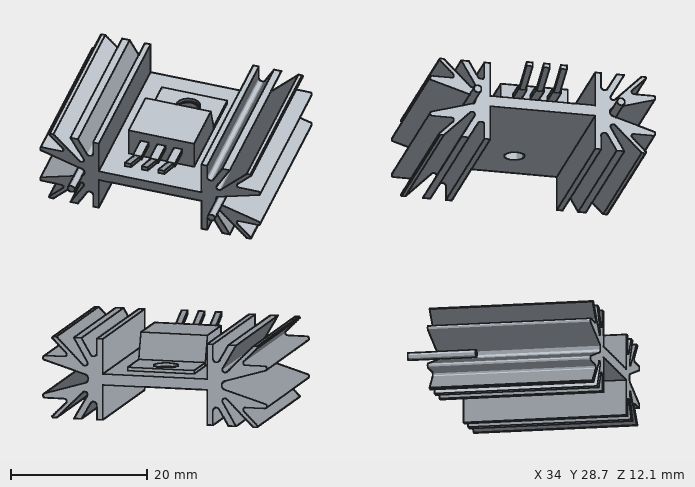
import cadquery as cq
import math


OVERALL_WIDTH = 34.0
HEIGHT = 12.1
LENGTH = 24.48
BACK_Y = 14.35
HALF_HEIGHT = HEIGHT / 2
WEB_THICKNESS = 1.63
WEB_TOP = WEB_THICKNESS / 2

WALL_INNER_X = 7.92
WALL_THICKNESS = 0.9
WALL_OUTER_X = WALL_INNER_X + WALL_THICKNESS

STEEP_FIN_ANGLE = 30.0
STEEP_FIN_INNER_X = 11.15
STEEP_FIN_OUTER_X = 12.3
DIAGONAL_FIN_ANGLE = 45.0
DIAGONAL_FIN_INNER_X = 14.93
DIAGONAL_FIN_OUTER_X = 15.47
DIAGONAL_FIN_CHAMFER = 0.17
SIDE_FIN_TOP = 3.15
SIDE_FIN_TIP_RADIUS = 0.35
PIN_GROOVE_ANGLE = 16.7
PIN_GROOVE_RADIUS = 0.68

WALL_NOTCH_RADIUS = 0.5
FIN_NOTCH_RADIUS = 0.4
SIDE_NOTCH_RADIUS = 0.35

PIN_DIAMETER = 1.12
PIN_X = 10.8
PIN_LENGTH = 10.2
PIN_FRONT_Y = -14.35

PACKAGE_WIDTH = 10.1
PACKAGE_BACK_Y = 10.88
PACKAGE_FRONT_Y = -4.8
CASE_TOP = 5.17
TAB_THICKNESS = 0.5
TAB_TOP = WEB_TOP + TAB_THICKNESS
CASE_BACK_FOOT_Y = 4.42
CASE_BACK_TOP_Y = 3.15
HOLE_Y = 7.85
TAB_HOLE_DIAMETER = 3.6
WEB_HOLE_DIAMETER = 3.0

LEG_PITCH = 2.6
LEG_THICKNESS = 0.6
LEG_BOTTOM = 3.05
LEG_RISE = 1.97
LEG_BEND_Y = -8.25
LEG_TIP_Y = -12.75
LEG_ROOT_WIDTH = 1.3
LEG_TIP_WIDTH = 0.92


def corner_arc(before, corner, after, radius):
    """Start, middle and end of the arc that rounds a corner between two straight lines."""

    def direction(target):
        reach = math.dist(corner, target)
        return ((target[0] - corner[0]) / reach, (target[1] - corner[1]) / reach)

    def along(step, distance):
        return (corner[0] + step[0] * distance, corner[1] + step[1] * distance)

    back = direction(before)
    ahead = direction(after)
    bisector = (back[0] + ahead[0], back[1] + ahead[1])
    bisector_length = math.hypot(*bisector)
    half_angle = math.acos(bisector_length / 2)
    middle_step = (bisector[0] / bisector_length, bisector[1] / bisector_length)
    tangent_distance = radius / math.tan(half_angle)
    middle_distance = radius / math.sin(half_angle) - radius
    return along(back, tangent_distance), along(middle_step, middle_distance), along(ahead, tangent_distance)


def rounded_outline(corners):
    """Closed XZ outline from (x, z, radius) corners, where radius 0 keeps a corner sharp."""
    points = [(x, z) for x, z, _ in corners]
    outline = cq.Workplane("XZ", origin=(0, BACK_Y, 0)).moveTo(*points[0])
    for i in range(1, len(corners)):
        radius = corners[i][2]
        if radius == 0:
            outline = outline.lineTo(*points[i])
        else:
            after = points[(i + 1) % len(points)]
            start, middle, end = corner_arc(points[i - 1], points[i], after, radius)
            outline = outline.lineTo(*start).threePointArc(middle, end)
    return outline.close()


def lines_crossing(x1, slope1, x2, slope2):
    """Crossing point of two fin flanks, each given by x at the top face and its inward run per unit drop."""
    drop = (x2 - x1) / (slope2 - slope1)
    return x1 - slope1 * drop, HALF_HEIGHT - drop


def fin_corners():
    """Corners of the upper half of the right fin cluster, from the wall to the apex of the pin groove."""
    steep = math.tan(math.radians(STEEP_FIN_ANGLE))
    diagonal = math.tan(math.radians(DIAGONAL_FIN_ANGLE))
    flank = math.tan(math.radians(PIN_GROOVE_ANGLE))
    wall_notch = lines_crossing(WALL_OUTER_X, 0, STEEP_FIN_INNER_X, steep)
    fin_notch = lines_crossing(STEEP_FIN_OUTER_X, steep, DIAGONAL_FIN_INNER_X, diagonal)

    tip_x = DIAGONAL_FIN_OUTER_X + DIAGONAL_FIN_CHAMFER
    tip_z = HALF_HEIGHT - DIAGONAL_FIN_CHAMFER
    side_notch_x = tip_x - (tip_z - SIDE_FIN_TOP) * diagonal

    tip_half_angle = math.radians(PIN_GROOVE_ANGLE) / 2
    tip_center_x = OVERALL_WIDTH / 2 - SIDE_FIN_TIP_RADIUS
    side_tip_x = tip_center_x + SIDE_FIN_TIP_RADIUS / math.tan(tip_half_angle)
    groove_apex_x = side_tip_x - SIDE_FIN_TOP / flank
    return [
        (WALL_INNER_X, HALF_HEIGHT, 0),
        (WALL_OUTER_X, HALF_HEIGHT, 0),
        (*wall_notch, WALL_NOTCH_RADIUS),
        (STEEP_FIN_INNER_X, HALF_HEIGHT, 0),
        (STEEP_FIN_OUTER_X, HALF_HEIGHT, 0),
        (*fin_notch, FIN_NOTCH_RADIUS),
        (DIAGONAL_FIN_INNER_X, HALF_HEIGHT, 0),
        (DIAGONAL_FIN_OUTER_X, HALF_HEIGHT, 0),
        (tip_x, tip_z, 0),
        (side_notch_x, SIDE_FIN_TOP, SIDE_NOTCH_RADIUS),
        (side_tip_x, SIDE_FIN_TOP, SIDE_FIN_TIP_RADIUS),
        (groove_apex_x, 0, PIN_GROOVE_RADIUS),
    ]


def make_heatsink():
    """Web between two mirrored fin clusters, with the mounting hole through the web."""
    upper = fin_corners()
    lower = [(x, -z, radius) for x, z, radius in reversed(upper[:-1])]
    right_fins = rounded_outline(upper + lower).extrude(LENGTH)
    left_fins = right_fins.mirror("YZ")
    web = (
        cq.Workplane("XZ", origin=(0, BACK_Y, 0))
        .rect(2 * WALL_INNER_X + WALL_THICKNESS, WEB_THICKNESS)
        .extrude(LENGTH)
    )
    hole = cq.Workplane("XY").center(0, HOLE_Y).circle(WEB_HOLE_DIAMETER / 2).extrude(HEIGHT, both=True)
    return web.union(right_fins).union(left_fins).cut(hole)


def make_pin(x):
    """Round pin lying along Y in the groove at x, reaching out past the front of the heatsink."""
    return cq.Workplane("XZ", origin=(x, PIN_FRONT_Y, 0)).circle(PIN_DIAMETER / 2).extrude(-PIN_LENGTH)


def make_leg(x):
    """Leg with a level root and a narrower tip that slopes upward."""
    root = (
        cq.Workplane("YZ", origin=(x, 0, 0))
        .moveTo(PACKAGE_FRONT_Y, LEG_BOTTOM)
        .lineTo(LEG_BEND_Y, LEG_BOTTOM)
        .lineTo(LEG_BEND_Y, LEG_BOTTOM + LEG_THICKNESS)
        .lineTo(PACKAGE_FRONT_Y, LEG_BOTTOM + LEG_THICKNESS)
        .close()
        .extrude(LEG_ROOT_WIDTH / 2, both=True)
    )
    tip = (
        cq.Workplane("YZ", origin=(x, 0, 0))
        .moveTo(LEG_BEND_Y, LEG_BOTTOM)
        .lineTo(LEG_TIP_Y, LEG_BOTTOM + LEG_RISE)
        .lineTo(LEG_TIP_Y, LEG_BOTTOM + LEG_RISE + LEG_THICKNESS)
        .lineTo(LEG_BEND_Y, LEG_BOTTOM + LEG_THICKNESS)
        .close()
        .extrude(LEG_TIP_WIDTH / 2, both=True)
    )
    return root.union(tip)


def make_tab():
    """Flat tab on the web, ending where the case begins."""
    tab = (
        cq.Workplane("XY")
        .box(PACKAGE_WIDTH, PACKAGE_BACK_Y - CASE_BACK_FOOT_Y, TAB_THICKNESS, centered=(True, False, False))
        .translate((0, CASE_BACK_FOOT_Y, WEB_TOP))
    )
    hole = (
        cq.Workplane("XY", origin=(0, HOLE_Y, WEB_TOP))
        .circle(TAB_HOLE_DIAMETER / 2)
        .extrude(TAB_THICKNESS)
    )
    return tab.cut(hole)


def make_case():
    """Case on the web whose back face leans forward above the tab, in one piece with its three legs."""
    case = (
        cq.Workplane("YZ")
        .moveTo(PACKAGE_FRONT_Y, WEB_TOP)
        .lineTo(CASE_BACK_FOOT_Y, WEB_TOP)
        .lineTo(CASE_BACK_FOOT_Y, TAB_TOP)
        .lineTo(CASE_BACK_TOP_Y, CASE_TOP)
        .lineTo(PACKAGE_FRONT_Y, CASE_TOP)
        .close()
        .extrude(PACKAGE_WIDTH / 2, both=True)
    )
    for position in (-1, 0, 1):
        case = case.union(make_leg(position * LEG_PITCH))
    return case


heatsink = make_heatsink()
pins = [make_pin(side * PIN_X) for side in (-1, 1)]
tab = make_tab()
case = make_case()

result = cq.Compound.makeCompound([
    heatsink.val(),
    *[pin.val() for pin in pins],
    tab.val(),
    case.val(),
])